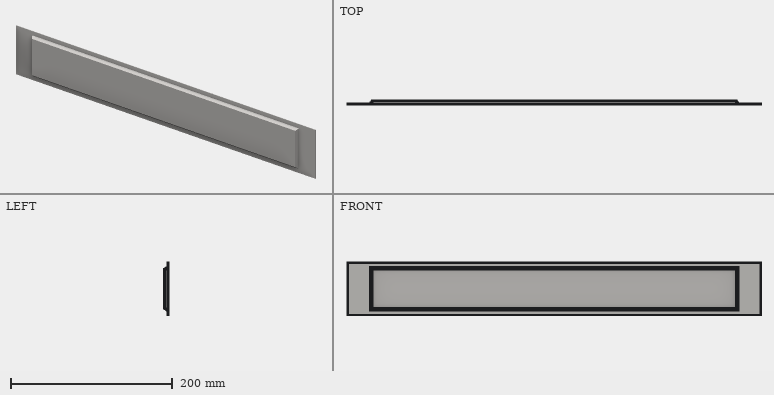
import cadquery as cq

SHEET_LENGTH = 510.0
SHEET_HEIGHT = 65.0
THICKNESS = 1.0
TOTAL_DEPTH = 5.0

OPENING_LENGTH = 454.0
OPENING_HEIGHT = 53.0
WALL_RUN = 2.8
WALL_OFFSET = 0.4

TRAY_DEPTH = TOTAL_DEPTH - THICKNESS
FRONT_Y = -TOTAL_DEPTH / 2
SHEET_BACK_Y = FRONT_Y + THICKNESS


def tapered_block(length, height, start_y):
    """Rectangular frustum of tray depth, narrowing toward +Y."""
    return (
        cq.Workplane("XZ", origin=(0, start_y, 0))
        .rect(length, height)
        .workplane(offset=-TRAY_DEPTH)
        .rect(length - 2 * WALL_RUN, height - 2 * WALL_RUN)
        .loft(ruled=True)
    )


sheet = cq.Workplane("XY").box(SHEET_LENGTH, THICKNESS, SHEET_HEIGHT)
sheet = sheet.translate((0, FRONT_Y + THICKNESS / 2, 0))

tray_outside = tapered_block(
    OPENING_LENGTH + 2 * WALL_OFFSET,
    OPENING_HEIGHT + 2 * WALL_OFFSET,
    SHEET_BACK_Y,
)
tray_inside = tapered_block(OPENING_LENGTH, OPENING_HEIGHT, FRONT_Y)

result = sheet.union(tray_outside).cut(tray_inside)